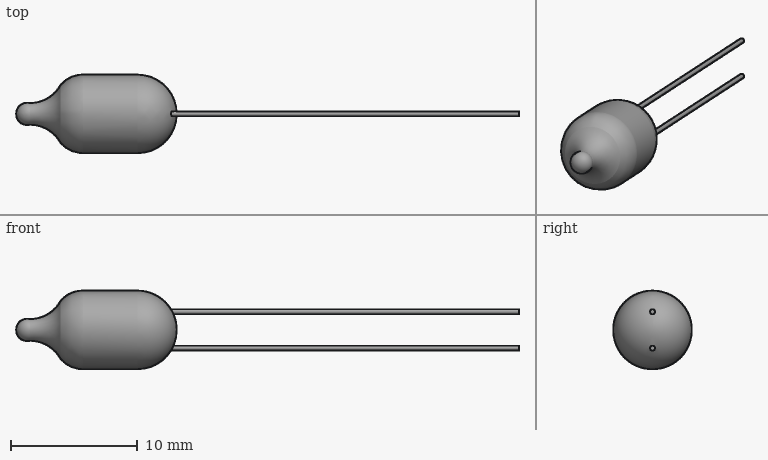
import cadquery as cq
import math

total_length = 39.62
bulb_length = 12.67
body_radius = 3.11
tip_radius = 0.89
tip_length = 1.1
shoulder_start = 3.52
shoulder_start_radius = 2.3
body_start = 5.26
body_end = bulb_length - body_radius

lead_diameter = 0.4
lead_spacing = 2.87


def level_arc_radius(run, rise):
    """Radius of an arc that is parallel to X at one end and covers the given run and rise."""
    return (run**2 + rise**2) / (2 * rise)


def make_bulb():
    neck_radius = math.sqrt(tip_radius**2 - (tip_length - tip_radius) ** 2)
    neck_arc = level_arc_radius(shoulder_start - tip_length, shoulder_start_radius - neck_radius)
    shoulder_arc = level_arc_radius(body_start - shoulder_start, body_radius - shoulder_start_radius)
    profile = (
        cq.Workplane("XZ")
        .threePointArc((tip_radius, tip_radius), (tip_length, neck_radius))
        .radiusArc((shoulder_start, shoulder_start_radius), -neck_arc)
        .radiusArc((body_start, body_radius), shoulder_arc)
        .lineTo(body_end, body_radius)
        .radiusArc((bulb_length, 0), body_radius)
        .close()
    )
    return profile.revolve(360, (0, 0, 0), (1, 0, 0))


def make_lead(z):
    return (
        cq.Workplane("YZ", origin=(body_end, 0, z))
        .circle(lead_diameter / 2)
        .extrude(total_length - body_end)
    )


result = make_bulb()
for side in (-1, 1):
    result = result.union(make_lead(side * lead_spacing / 2))